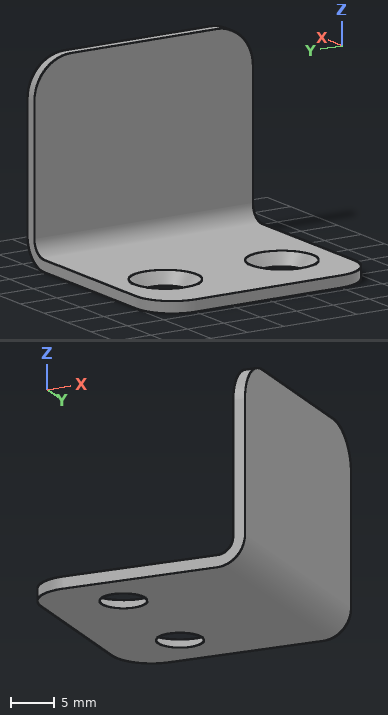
import cadquery as cq

length = 28.0
width = 30.0
height = 25.0

thickness = 1.5
inner_bend_radius = 2.0
outer_bend_radius = inner_bend_radius + thickness
corner_radius = 5.0

hole_edge_distance = 9.5
hole_spacing = 16.0
countersink_diameter = 8.5
hole_diameter = countersink_diameter - 2 * thickness

free_edge_x = -length / 2
wall_outer_x = length / 2
wall_inner_x = wall_outer_x - thickness


def bent_sheet():
    """L-shaped sheet with concentric inner and outer bend radii."""
    outer = (
        cq.Workplane("XZ")
        .moveTo(free_edge_x, 0)
        .lineTo(wall_outer_x, 0)
        .lineTo(wall_outer_x, height)
        .lineTo(wall_inner_x, height)
        .lineTo(wall_inner_x, thickness)
        .lineTo(free_edge_x, thickness)
        .close()
        .extrude(width / 2, both=True)
    )
    inner_bend = cq.selectors.NearestToPointSelector((wall_inner_x, 0, thickness))
    outer_bend = cq.selectors.NearestToPointSelector((wall_outer_x, 0, 0))
    sheet = outer.edges(inner_bend).fillet(inner_bend_radius)
    return sheet.edges(outer_bend).fillet(outer_bend_radius)


def round_free_corners(sheet):
    """Round the two outer corners of the base and of the upright wall."""
    base_rounded = sheet.faces("<X").edges("|Z").fillet(corner_radius)
    return base_rounded.faces(">Z").edges("|X").fillet(corner_radius)


def countersink_cone(y):
    """Cone that narrows from the top of the base to its underside."""
    return cq.Workplane(
        cq.Solid.makeCone(
            hole_diameter / 2,
            countersink_diameter / 2,
            thickness,
            pnt=cq.Vector(free_edge_x + hole_edge_distance, y, 0),
        )
    )


result = round_free_corners(bent_sheet())
for hole_y in (-hole_spacing / 2, hole_spacing / 2):
    result = result.cut(countersink_cone(hole_y))